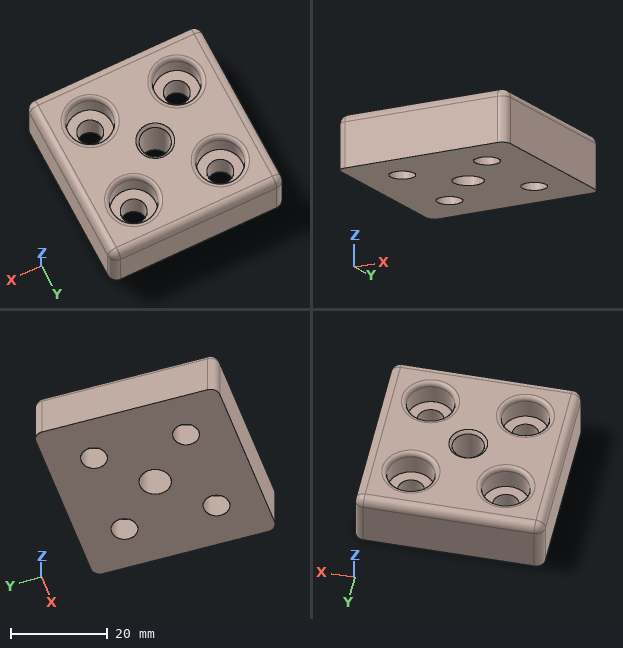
import cadquery as cq

side = 40
height = 12
edge_radius = 2

screw_spacing = side / 2
screw_diameter = 5.5
counterbore_diameter = 10
counterbore_depth = 5.6
rim_radius = 1.0

centre_diameter = 6.65
centre_mouth_diameter = 8
centre_chamfer = (centre_mouth_diameter - centre_diameter) / 2


def rounded_block():
    """Block resting on Z = 0 with rounded upright and top edges."""
    block = cq.Workplane("XY").box(side, side, height, centered=(True, True, False))
    return block.edges("|Z").fillet(edge_radius).faces(">Z").edges().fillet(edge_radius)


def top_rims(block, diameter):
    """Circular edges of the given diameter that lie in the top face."""
    rims = block.faces(">Z").edges("%CIRCLE")
    return rims.filter(lambda edge: abs(edge.radius() - diameter / 2) < 0.005)


def add_screw_holes(block):
    drilled = (
        block.faces(">Z")
        .workplane(origin=(0, 0, height))
        .rarray(screw_spacing, screw_spacing, 2, 2)
        .cboreHole(screw_diameter, counterbore_diameter, counterbore_depth)
    )
    return top_rims(drilled, counterbore_diameter).fillet(rim_radius)


def add_centre_hole(block):
    drilled = block.faces(">Z").workplane(origin=(0, 0, height)).hole(centre_diameter)
    return top_rims(drilled, centre_diameter).chamfer(centre_chamfer)


result = add_centre_hole(add_screw_holes(rounded_block()))